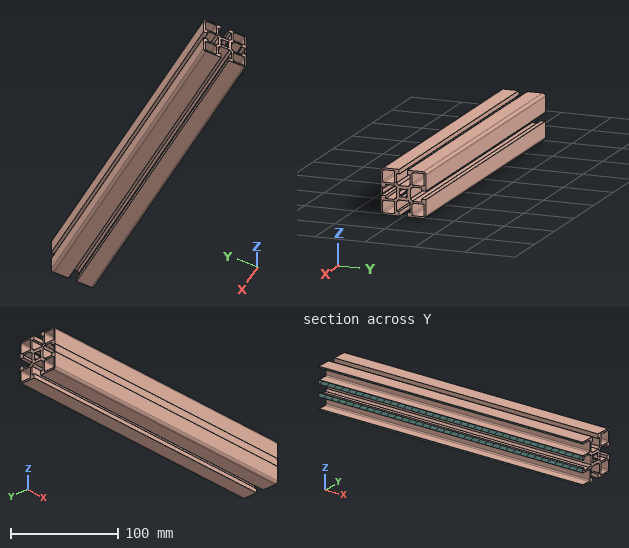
import cadquery as cq

length = 304.8
side = 45.0
corner_radius = 2.7

slot_opening = 8.2
slot_width = 13.7
slot_depth = 15.5
slot_floor_chamfer = 2.0
lip_depth = 4.5

wall = 1.8
chamber_radius = 1.2

core_hole_diameter = 7.5
core_groove_span = 10.5
core_groove_width = 1.2

web_edge_thickness = 0.3
web_middle_thickness = 1.8
web_crest_width = 4.5

half_side = side / 2
half_length = length / 2


def section_plane():
    """YZ plane at the -X end: local x is +Y, local y is +Z."""
    return cq.Workplane("YZ", origin=(-half_length, 0, 0))


def slot_cutter():
    """T-slot open towards +Y."""
    half_opening = slot_opening / 2
    half_width = slot_width / 2
    lip_y = half_side - lip_depth
    floor_y = half_side - slot_depth
    upper_half = [
        (half_side, half_opening),
        (lip_y, half_opening),
        (lip_y, half_width),
        (floor_y + slot_floor_chamfer, half_width),
        (floor_y, half_width - slot_floor_chamfer),
    ]
    lower_half = [(y, -z) for y, z in reversed(upper_half)]
    return section_plane().polyline(upper_half + lower_half).close().extrude(length)


def chamber_cutter():
    """Four corner chambers with rounded edges."""
    chamber_inner = slot_width / 2 + wall
    chamber_outer = half_side - wall
    chamber_size = chamber_outer - chamber_inner
    pitch = chamber_outer + chamber_inner
    chambers = section_plane().rarray(pitch, pitch, 2, 2).rect(chamber_size, chamber_size)
    return chambers.extrude(length).edges("|X").fillet(chamber_radius)


def core_cutter():
    """Round core hole crossed by two diagonal grooves."""
    core = section_plane().circle(core_hole_diameter / 2).extrude(length)
    for angle in (45, -45):
        groove = section_plane().rect(core_groove_span, core_groove_width).extrude(length)
        core = core.union(groove.rotate((0, 0, 0), (1, 0, 0), angle))
    return core


def closing_web():
    """Thin web across the -Y slot, thickened towards a flat crest."""
    half_opening = slot_opening / 2
    edge_y = web_edge_thickness - half_side
    middle_y = web_middle_thickness - half_side
    outline = [
        (-half_side, -half_opening),
        (edge_y, -half_opening),
        (middle_y, -web_crest_width / 2),
        (middle_y, web_crest_width / 2),
        (edge_y, half_opening),
        (-half_side, half_opening),
    ]
    return section_plane().polyline(outline).close().extrude(length)


bar = section_plane().rect(side, side).extrude(length).edges("|X").fillet(corner_radius)

slot = slot_cutter()
for angle in (0, 90, 180, 270):
    bar = bar.cut(slot.rotate((0, 0, 0), (1, 0, 0), angle))

result = bar.cut(chamber_cutter()).cut(core_cutter()).union(closing_web())